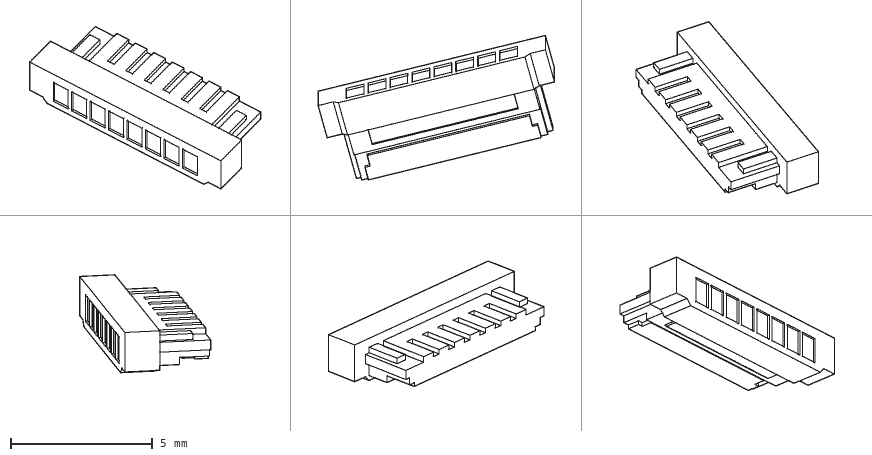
import cadquery as cq

block_width = 8.3
block_depth = 1.26
block_height = 1.65
shoulder_height = 0.215
foot_top_inset = 0.56
foot_bottom_inset = 0.75

center_x = block_width / 2

window_count = 8
window_row_span = 5.6
window_width = 0.65
window_bottom = 0.27
window_top = 1.24
window_depth = 0.08

contact_pitch = window_row_span / (window_count - 1)

part_depth = 3.2
plate_width = 7.18
plate_bottom = 0.73
plate_top = 1.09
raised_width = 5.33
raised_top = 1.3
core_width = 6.79
core_bottom = 0.46

slot_count = 6
slot_width = 0.28
slot_length = 1.29
slot_depth = 0.175

rib_width = 0.43
rib_end = 2.6

heel_bottom = 0.19
heel_end = 2.12
pad_width = 5.33
pad_bottom = 0.11
pad_end = 1.89
pad_bevel = 0.06

strip_bottom = 0.31
strip_start = 2.3
strip_step = 2.71
strip_front_width = 5.93
strip_rear_width = 6.31


def box(x, width, y_range, z_range):
    """Box centred on x that fills the given Y and Z ranges."""
    depth = y_range[1] - y_range[0]
    height = z_range[1] - z_range[0]
    corner = cq.Vector(x - width / 2, y_range[0], z_range[0])
    return cq.Workplane(cq.Solid.makeBox(width, depth, height, corner))


def row_positions(count):
    """X positions of a centred row at the contact pitch."""
    first = center_x - (count - 1) * contact_pitch / 2
    return [first + i * contact_pitch for i in range(count)]


def front_block():
    """Block with a tapered foot and a row of shallow windows."""
    outline = [
        (0, block_height),
        (0, shoulder_height),
        (foot_top_inset, shoulder_height),
        (foot_bottom_inset, 0),
        (block_width - foot_bottom_inset, 0),
        (block_width - foot_top_inset, shoulder_height),
        (block_width, shoulder_height),
        (block_width, block_height),
    ]
    block = cq.Workplane("XZ").polyline(outline).close().extrude(-block_depth)
    for x in row_positions(window_count):
        block = block.cut(box(x, window_width, (0, window_depth), (window_bottom, window_top)))
    return block


def tongue():
    """Plate with a slotted raised middle, a rib on each side and a core below."""
    full_y = (block_depth, part_depth)
    body = box(center_x, plate_width, full_y, (plate_bottom, plate_top))
    body = body.union(box(center_x, core_width, full_y, (core_bottom, plate_bottom)))

    raised_z = (plate_top, raised_top)
    raised = box(center_x, raised_width, full_y, raised_z)
    slot_y = (part_depth - slot_length, part_depth)
    slot_z = (raised_top - slot_depth, raised_top)
    for x in row_positions(slot_count):
        raised = raised.cut(box(x, slot_width, slot_y, slot_z))
    body = body.union(raised)

    rib_offset = (core_width - rib_width) / 2
    for side in (-1, 1):
        rib_x = center_x + side * rib_offset
        body = body.union(box(rib_x, rib_width, (block_depth, rib_end), raised_z))
    return body


def heel():
    """Step under the core with a thin pad bevelled along its rear edge."""
    step = box(center_x, core_width, (block_depth, heel_end), (heel_bottom, core_bottom))
    pad = box(center_x, pad_width, (block_depth, pad_end), (pad_bottom, heel_bottom))
    pad = pad.edges(">Y and <Z").chamfer(pad_bevel)
    return step.union(pad)


def end_strip():
    """Strip under the free end, wider towards the rear."""
    strip_z = (strip_bottom, core_bottom)
    front = box(center_x, strip_front_width, (strip_start, strip_step), strip_z)
    rear = box(center_x, strip_rear_width, (strip_step, part_depth), strip_z)
    return front.union(rear)


result = front_block().union(tongue()).union(heel()).union(end_strip())